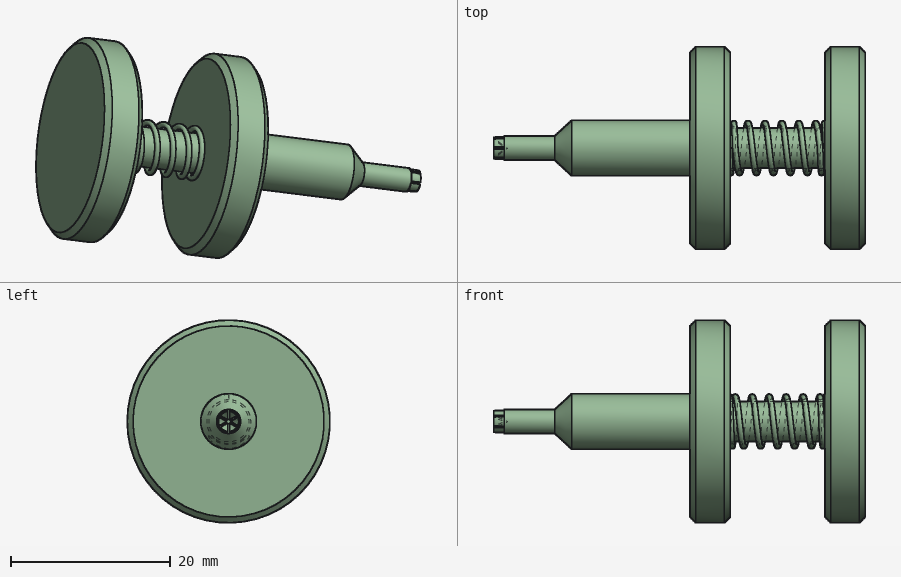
import cadquery as cq
import math

total_length = 46.5
disc_diameter = 25.4
disc_thickness = 5.05
disc_chamfer = 0.75
disc_gap = 11.8
core_diameter = 5.0

shaft_diameter = 6.95
shaft_taper_start = 7.6
shaft_taper_end = 9.75
nose_diameter = 3.0

tip_diameter = 2.8
tip_length = 1.3
tip_chamfer_length = 0.33
tip_chamfer_depth = 0.05
mouth_diameter = 2.5
mouth_depth = 1.67
slot_width = 0.25
slot_diameters = 3

spring_outer_diameter = 6.9
wire_diameter = 0.7
active_turns = 5
closed_turns = 1
active_length = 10.6
closed_pitch = 0.75
points_per_turn = 16
spring_start_angle = 90.0

rear_disc_start = total_length - disc_thickness
gap_start = rear_disc_start - disc_gap
front_disc_start = gap_start - disc_thickness


def make_stem():
    """Tip, nose, taper, shaft and spring core as one turned profile."""
    tip_radius = tip_diameter / 2
    nose_radius = nose_diameter / 2
    shaft_radius = shaft_diameter / 2
    core_radius = core_diameter / 2
    profile = (
        cq.Workplane("XY")
        .moveTo(0, 0)
        .lineTo(0, tip_radius - tip_chamfer_depth)
        .lineTo(tip_chamfer_length, tip_radius)
        .lineTo(tip_length, tip_radius)
        .lineTo(tip_length, nose_radius)
        .lineTo(shaft_taper_start, nose_radius)
        .lineTo(shaft_taper_end, shaft_radius)
        .lineTo(gap_start, shaft_radius)
        .lineTo(gap_start, core_radius)
        .lineTo(total_length, core_radius)
        .lineTo(total_length, 0)
        .close()
    )
    return profile.revolve(360, (0, 0, 0), (1, 0, 0))


def make_disc(start):
    """Disc with both rims chamfered."""
    return (
        cq.Workplane("YZ", origin=(start, 0, 0))
        .circle(disc_diameter / 2)
        .extrude(disc_thickness)
        .edges()
        .chamfer(disc_chamfer)
    )


def make_mouth():
    """Conical recess, open at the tip."""
    return (
        cq.Workplane("XY")
        .polyline([(0, 0), (0, mouth_diameter / 2), (mouth_depth, 0)])
        .close()
        .revolve(360, (0, 0, 0), (1, 0, 0))
    )


def make_slot(angle):
    """Slot across the full tip diameter, turned about the X axis."""
    return (
        cq.Workplane("XY")
        .box(tip_length, slot_width, nose_diameter, centered=(False, True, True))
        .rotate((0, 0, 0), (1, 0, 0), angle)
    )


def make_plunger():
    plunger = make_stem()
    for start in (front_disc_start, rear_disc_start):
        plunger = plunger.union(make_disc(start))
    plunger = plunger.cut(make_mouth())
    for index in range(slot_diameters):
        plunger = plunger.cut(make_slot(index * 180 / slot_diameters))
    return plunger


def coil_point(turn):
    """Wire centre; turn zero is where the active coils begin."""
    radius = (spring_outer_diameter - wire_diameter) / 2
    active_start = gap_start + (disc_gap - active_length) / 2
    turn_in_active = min(max(turn, 0), active_turns)
    turn_in_closed = turn - turn_in_active
    x = active_start + turn_in_active * active_length / active_turns + turn_in_closed * closed_pitch
    angle = math.radians(spring_start_angle + 360 * turn)
    return cq.Vector(x, radius * math.cos(angle), radius * math.sin(angle))


def make_spring():
    first_step = -closed_turns * points_per_turn
    last_step = (active_turns + closed_turns) * points_per_turn
    points = [coil_point(step / points_per_turn) for step in range(first_step, last_step + 1)]
    path = cq.Edge.makeSpline(points)
    start_plane = cq.Plane(origin=path.startPoint(), normal=path.tangentAt(0))
    wire = (
        cq.Workplane(start_plane)
        .circle(wire_diameter / 2)
        .sweep(cq.Workplane(obj=path), isFrenet=True)
    )
    disc_space = (
        cq.Workplane("YZ", origin=(gap_start, 0, 0))
        .circle(disc_diameter / 2)
        .extrude(disc_gap)
    )
    return wire.intersect(disc_space)


plunger = make_plunger()
spring = make_spring()

result = cq.Compound.makeCompound([plunger.val(), *spring.solids().vals()])